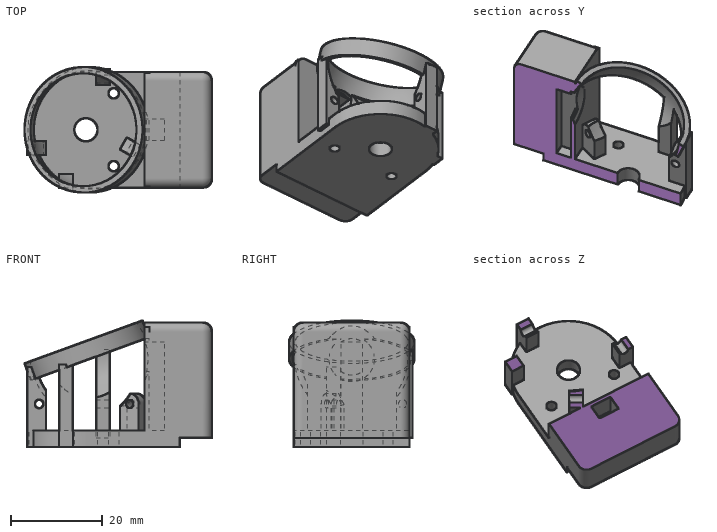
import cadquery as cq
import math


base_radius = 12.7
base_thickness = 3.65
base_end_x = 20.55
centre_hole_diameter = 5.0
screw_hole_diameter = 2.2
screw_hole_x = 6.08
screw_hole_y = 7.95

overall_height = 27.7
housing_front_x = 12.8
housing_end_x = 27.6
housing_bottom = 2.0
housing_top = 27.25
housing_round = 2.0
lip_depth = 1.1
lip_top = 26.28

ring_radius = 13.75
ring_height = 4.0
ring_tilt = 20.0
ball_radius = 12.97
ball_x = 0.82
ball_z = (
    overall_height
    - ring_radius * math.sin(math.radians(ring_tilt))
    - ring_height * math.cos(math.radians(ring_tilt))
)

window_width = 4.75
window_radius = 4.0
window_z = 19.75
cavity_front_x = 13.85
cavity_end_x = 17.25
cavity_top = 23.05

post_width = 3.05
post_hole_diameter = 1.8
post_hole_z = 9.45
rear_post_outer_x = -12.85
rear_post_inner_x = -8.7
rear_post_start_y = -5.55
rear_post_hole_x = -10.22
rear_post_top = 17.5
plain_post_start_x = -5.87
plain_post_inner_y = -9.7
plain_post_top = 18.05
tall_post_start_x = 2.2
tall_post_inner_y = 9.8
tall_post_outer_y = 13.35
tall_post_hole_y = 11.13
tall_post_top = 21.35
short_post_angle = -30.0
short_post_inner = 8.6
short_post_outer = 13.35
short_post_hole = 11.05


def block(x_start, x_end, y_start, y_end, z_start, z_end):
    """Box between two corners."""
    size = (x_end - x_start, y_end - y_start, z_end - z_start)
    return cq.Workplane("XY").box(*size, centered=False).translate((x_start, y_start, z_start))


def base_plate():
    disc = cq.Workplane("XY").circle(base_radius).extrude(base_thickness)
    tail = block(0, base_end_x, -base_radius, base_radius, 0, base_thickness)
    return disc.union(tail)


def housing():
    body = block(housing_front_x, housing_end_x, -base_radius, base_radius, housing_bottom, housing_top)
    body = body.edges("(|X and >Z) or (|Z and >X) or (>X and >Z)").fillet(housing_round)
    lip = block(
        housing_front_x, housing_front_x + lip_depth, -base_radius, base_radius, housing_bottom, lip_top
    )
    return body.union(lip)


def ring():
    solid_ring = cq.Workplane("XY").circle(ring_radius).extrude(ring_height)
    solid_ring = solid_ring.rotate((0, 0, 0), (0, 1, 0), -ring_tilt)
    return solid_ring.translate((ball_x, 0, ball_z))


def rear_post():
    """Post on the -X side, with a hole along Y."""
    post = block(
        rear_post_outer_x, rear_post_inner_x, rear_post_start_y, rear_post_start_y + post_width,
        0, rear_post_top,
    )
    hole = (
        cq.Workplane("XZ").center(rear_post_hole_x, post_hole_z).circle(post_hole_diameter / 2)
        .extrude(base_radius, both=True)
    )
    return post.cut(hole)


def plain_post():
    """Post on the -Y side, without a hole."""
    return block(
        plain_post_start_x, plain_post_start_x + post_width, -base_radius, plain_post_inner_y,
        0, plain_post_top,
    )


def tall_post():
    """Post on the +Y side, with a hole along X."""
    post = block(
        tall_post_start_x, tall_post_start_x + post_width, tall_post_inner_y, tall_post_outer_y,
        housing_bottom, tall_post_top,
    )
    hole = (
        cq.Workplane("YZ").center(tall_post_hole_y, post_hole_z).circle(post_hole_diameter / 2)
        .extrude(base_radius)
    )
    return post.cut(hole)


def short_post():
    """Turned post in front of the housing, its outer top corner rounded about the hole."""
    round_radius = short_post_outer - short_post_hole
    post_top = post_hole_z + round_radius
    diagonal = round_radius * math.sqrt(0.5)
    post = (
        cq.Workplane("XZ")
        .moveTo(short_post_inner, housing_bottom)
        .lineTo(short_post_outer, housing_bottom)
        .lineTo(short_post_outer, post_hole_z)
        .threePointArc(
            (short_post_hole + diagonal, post_hole_z + diagonal),
            (short_post_hole, post_top),
        )
        .lineTo(short_post_inner, post_top)
        .close()
        .moveTo(short_post_hole, post_hole_z)
        .circle(post_hole_diameter / 2)
        .extrude(-post_width)
    )
    return post.rotate((0, 0, 0), (0, 0, 1), short_post_angle)


def window():
    """Round-ended opening into a closed cavity in the housing."""
    half_width = window_width / 2
    slot = block(
        housing_front_x, cavity_front_x, -half_width, half_width,
        window_z - window_radius, window_z + window_radius,
    )
    disc = (
        cq.Workplane("YZ", origin=(housing_front_x, 0, window_z)).circle(window_radius)
        .extrude(cavity_front_x - housing_front_x)
    )
    cavity = block(cavity_front_x, cavity_end_x, -half_width, half_width, base_thickness, cavity_top)
    return slot.intersect(disc).union(cavity)


def base_holes():
    centre = cq.Workplane("XY").circle(centre_hole_diameter / 2).extrude(base_thickness)
    screws = (
        cq.Workplane("XY")
        .pushPoints([(screw_hole_x, -screw_hole_y), (screw_hole_x, screw_hole_y)])
        .circle(screw_hole_diameter / 2)
        .extrude(base_thickness)
    )
    return centre.union(screws)


result = base_plate().union(housing()).union(ring())
for post_part in (rear_post(), plain_post(), tall_post(), short_post()):
    result = result.union(post_part)

ball = cq.Workplane("XY").sphere(ball_radius).translate((ball_x, 0, ball_z))
result = result.cut(ball).cut(window()).cut(base_holes())